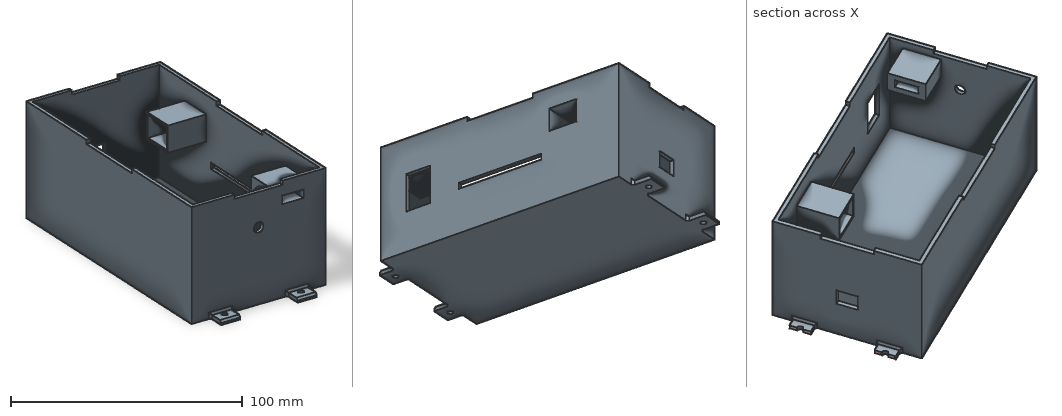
import cadquery as cq
overall_length = 145.5
left_tab_length = 9.9
right_tab_length = 8.0
box_length = overall_length - left_tab_length - right_tab_length
box_width = 70.0
box_height = 56.0
wall = 2.0
inner_length = box_length - 2 * wall
inner_width = box_width - 2 * wall

long_side_notch = 35.1
short_side_notch = 25.0
notch_depth = 2.0

tab_width = 10.0
tab_thickness = 2.0
tab_offset = 20.0
tab_edge = 1.0
tab_hole_diameter = 2.8
tab_hole_reach = 5.0

tube_left = -41.9
tube_width = 16.5
tube_height = 13.1
tube_reach = 20.0
tube_bottom = 33.6
tube_wall = 1.0

block_reach = 16.9
block_width = 18.0
block_height = 10.0
block_center_y = 17.9
block_bottom = 41.8
block_opening_width = 11.0
block_opening_height = 4.1

slot_length = 44.2
slot_height = 2.9
slot_bottom = 22.0
window_left = 37.4
window_width = 12.7
window_height = 18.5
window_bottom = 20.0

port_width = 10.0
port_height = 8.0
port_bottom = 17.9
round_hole_diameter = 5.0
round_hole_height = 37.0


def block(x_min, x_max, y_min, y_max, z_min, z_max):
    """Rectangular block between the given limits."""
    size = (x_max - x_min, y_max - y_min, z_max - z_min)
    return cq.Workplane("XY").box(*size, centered=False).translate((x_min, y_min, z_min))


def make_shell():
    shell = cq.Workplane("XY").box(box_length, box_width, box_height, centered=(True, True, False))
    cavity = cq.Workplane("XY", origin=(0, 0, wall)).rect(inner_length, inner_width).extrude(box_height)
    shell = shell.cut(cavity)
    for length, width in ((long_side_notch, box_width), (box_length, short_side_notch)):
        notch = cq.Workplane("XY", origin=(0, 0, box_height - notch_depth)).rect(length, width)
        shell = shell.cut(notch.extrude(notch_depth))
    return shell


def make_tab(tab_length):
    """Tab of the given length on the right wall, centred on Y = 0, with a flared root and a bevelled tip."""
    root = box_length / 2
    tip = root + tab_length
    plate = (
        cq.Workplane("XY")
        .box(tab_length, tab_width, tab_thickness, centered=(False, True, False))
        .translate((root, 0, 0))
        .edges(">X and >Z")
        .chamfer(tab_edge)
    )
    flare = (
        cq.Workplane("YZ", origin=(root, 0, 0))
        .polyline(flare_outline(tab_edge))
        .close()
        .workplane(offset=tab_edge)
        .polyline(flare_outline(0))
        .close()
        .loft(ruled=True)
    )
    hole = cq.Workplane("XY").center(tip - tab_hole_reach, 0).circle(tab_hole_diameter / 2)
    return plate.union(flare).cut(hole.extrude(tab_thickness))


def flare_outline(growth):
    """Tab cross-section widened at both sides and the top by the given growth."""
    half_width = tab_width / 2 + growth
    top = tab_thickness + growth
    return [(-half_width, 0), (half_width, 0), (half_width, top), (-half_width, top)]


def add_tabs(body):
    right_tab = make_tab(right_tab_length)
    left_tab = make_tab(left_tab_length).mirror("YZ")
    for y in (-tab_offset, tab_offset):
        for tab in (left_tab, right_tab):
            body = body.union(tab.translate((0, y, 0)))
    return body


def add_tube(body):
    """Thin tube that runs inward from the back wall and opens through it."""
    back = box_width / 2
    front = inner_width / 2 - tube_reach
    right = tube_left + tube_width
    top = tube_bottom + tube_height
    outside = block(tube_left, right, front, back, tube_bottom, top)
    bore = block(
        tube_left + tube_wall, right - tube_wall, front, back, tube_bottom + tube_wall, top - tube_wall
    )
    return body.union(outside).cut(bore)


def add_cable_block(body):
    """Block on the right wall with a flat opening running through it and the wall."""
    x_min = inner_length / 2 - block_reach
    x_max = box_length / 2
    middle_z = block_bottom + block_height / 2

    def centred(width, height):
        return block(
            x_min, x_max,
            block_center_y - width / 2, block_center_y + width / 2,
            middle_z - height / 2, middle_z + height / 2,
        )

    body = body.union(centred(block_width, block_height))
    return body.cut(centred(block_opening_width, block_opening_height))


def cut_wall_openings(body):
    back_inner = inner_width / 2
    back_outer = box_width / 2
    slot = block(
        -slot_length / 2, slot_length / 2, back_inner, back_outer, slot_bottom, slot_bottom + slot_height
    )
    window = block(
        window_left, window_left + window_width,
        back_inner, back_outer,
        window_bottom, window_bottom + window_height,
    )
    port = block(
        -box_length / 2, -inner_length / 2,
        -port_width / 2, port_width / 2,
        port_bottom, port_bottom + port_height,
    )
    round_hole = (
        cq.Workplane("YZ", origin=(inner_length / 2, 0, round_hole_height))
        .circle(round_hole_diameter / 2)
        .extrude(wall)
    )
    return body.cut(slot).cut(window).cut(port).cut(round_hole)


body = add_tabs(make_shell())
body = add_tube(body)
body = add_cable_block(body)
result = cut_wall_openings(body)